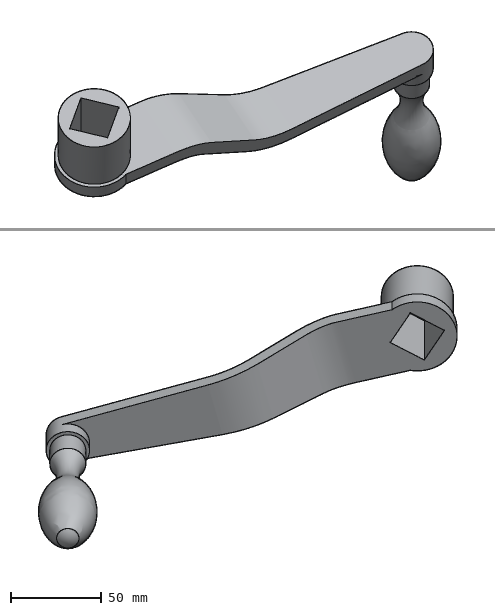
import cadquery as cq
import math


hub_diameter = 40.0
hub_height = 35.0
flange_diameter = 44.0
square_side = 22.0

crank_length = 199.8
arm_thickness = 9.0
arm_drop = 31.5
bend_start = 40.2
bend_end = 115.5
crest_radius = 43.3
dip_radius = 44.8
taper_start = 44.8
arm_tip_diameter = 24.0

collar_height = 8.5
shank_diameter = 20.0
shank_height = 15.0
neck_diameter = 12.6
neck_height = 30.0
grip_diameter = 32.6
grip_widest_depth = 23.0
grip_tip_diameter = 12.5
grip_side_height = 52.9
grip_dome_height = 2.1

bend_run = bend_end - bend_start
radius_sum = crest_radius + dip_radius
slope_length = math.sqrt(bend_run**2 + arm_drop**2 - 2 * radius_sum * arm_drop)
slope_angle = math.atan2(arm_drop - radius_sum, bend_run) + math.atan2(radius_sum, slope_length)


def arc_points(center, radius, side):
    """Three (y, z) points of a bend, from level to sloped; side is +1 for the crest, -1 for the dip."""
    y, z = center
    angles = (0, slope_angle / 2, slope_angle)
    return [
        (y + side * radius * math.sin(angle), z + side * radius * math.cos(angle))
        for angle in angles
    ]


def make_arm():
    """Cranked strip of constant thickness, trimmed to the tapered plan outline."""
    crest_center = (bend_start, -crest_radius)
    dip_center = (bend_end, dip_radius - arm_drop)
    top_crest = arc_points(crest_center, crest_radius, 1)
    top_dip = arc_points(dip_center, dip_radius, -1)
    bottom_crest = arc_points(crest_center, crest_radius - arm_thickness, 1)
    bottom_dip = arc_points(dip_center, dip_radius + arm_thickness, -1)
    arm_end = crank_length + arm_tip_diameter / 2
    strip = (
        cq.Workplane("YZ")
        .moveTo(0, 0)
        .lineTo(*top_crest[0])
        .threePointArc(*top_crest[1:])
        .lineTo(*top_dip[2])
        .threePointArc(top_dip[1], top_dip[0])
        .lineTo(arm_end, -arm_drop)
        .lineTo(arm_end, -arm_drop - arm_thickness)
        .lineTo(*bottom_dip[0])
        .threePointArc(*bottom_dip[1:])
        .lineTo(*bottom_crest[2])
        .threePointArc(bottom_crest[1], bottom_crest[0])
        .lineTo(0, -arm_thickness)
        .close()
        .extrude(hub_diameter, both=True)
    )
    root_half = hub_diameter / 2
    tip_half = arm_tip_diameter / 2
    plan = (
        cq.Workplane("XY")
        .workplane(offset=-arm_drop - arm_thickness)
        .moveTo(-root_half, 0)
        .lineTo(root_half, 0)
        .lineTo(root_half, taper_start)
        .lineTo(tip_half, crank_length)
        .threePointArc((0, arm_end), (-tip_half, crank_length))
        .lineTo(-root_half, taper_start)
        .close()
        .extrude(arm_drop + arm_thickness)
    )
    return strip.intersect(plan)


def make_hub():
    """Hub barrel standing on a flange as thick as the arm."""
    flange = cq.Workplane("XY").circle(flange_diameter / 2).extrude(-arm_thickness)
    barrel = cq.Workplane("XY").circle(hub_diameter / 2).extrude(hub_height)
    return flange.union(barrel)


def make_square_hole():
    """Through hole for a square shaft, with its corners on the X and Y axes."""
    return (
        cq.Workplane("XY")
        .workplane(offset=-arm_thickness)
        .transformed(rotate=(0, 0, 45))
        .rect(square_side, square_side)
        .extrude(arm_thickness + hub_height)
    )


def make_handle():
    """Collar, shank, waisted neck and bulging grip, revolved about the handle axis."""
    collar_top = -arm_drop - arm_thickness
    shank_top = collar_top - collar_height
    neck_top = shank_top - shank_height
    grip_top = neck_top - neck_height
    dome_top = grip_top - grip_side_height
    collar_radius = arm_tip_diameter / 2
    shank_radius = shank_diameter / 2
    tip_radius = grip_tip_diameter / 2
    dome_radius = (tip_radius**2 + grip_dome_height**2) / (2 * grip_dome_height)
    dome_mid_angle = math.asin(tip_radius / dome_radius) / 2
    dome_center = dome_top - grip_dome_height + dome_radius
    dome_mid = (
        dome_radius * math.sin(dome_mid_angle),
        dome_center - dome_radius * math.cos(dome_mid_angle),
    )
    return (
        cq.Workplane("XZ", origin=(0, crank_length, 0))
        .moveTo(0, collar_top)
        .lineTo(collar_radius, collar_top)
        .lineTo(collar_radius, shank_top)
        .lineTo(shank_radius, shank_top)
        .lineTo(shank_radius, neck_top)
        .threePointArc((neck_diameter / 2, neck_top - neck_height / 2), (shank_radius, grip_top))
        .threePointArc((grip_diameter / 2, grip_top - grip_widest_depth), (tip_radius, dome_top))
        .threePointArc(dome_mid, (0, dome_top - grip_dome_height))
        .close()
        .revolve(360, (0, 0, 0), (0, 1, 0))
    )


result = make_arm().union(make_hub()).union(make_handle()).cut(make_square_hole())